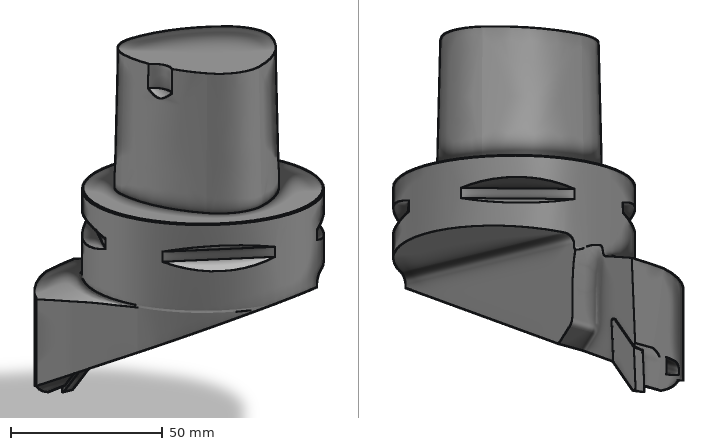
import cadquery as cq
import math


FLANGE_R = 80.0 / 2
FLANGE_CHAMFER = 0.4
TOOL_LENGTH = 80.0
TOOL_WIDTH = 95.0
GROOVE_Z = -12.0
GROOVE_FLOOR = 35.3
GROOVE_FLOOR_H = 3.5
GROOVE_MOUTH_H = 8.8
GROOVE_ANGLES = (45, 135, 225, 315)

SHANK_H = 48.0
SHANK_INSET = 1.2
LOBE_R = 16.3
LOBE_CENTRE = 13.2
FLANK_DISTANCE = 25.1
KEYWAY_R = 6.7
KEYWAY_BOTTOM_Y = -21.6
KEYWAY_Z = 39.7

BODY_R = 40.2
ARM_FRONT_Y = -42.0
ARM_CORNER_X = -37.2
ARM_CURVE_CENTRE_X = 3.2
ARM_BEND_X = -24.0
ARM_BEND_R = 34.0
ARM_FACE_Y = -0.44
CONE_DROP = math.tan(math.radians(13.2))
RING_TOP_Z = -30.1
RING_R = 1.4
UNDERSIDE_ANGLE = 24.7
UNDERSIDE_POINT = (-44.8, -68.4)
LEAD_ANGLE = 3.0
LEAD_X = -54.4
RELIEF_TOP_Z = -63.6
RELIEF_DEPTH = 1.18
RELIEF_ROUND_H = 4.2
TIP_Z = -77.2
TIP_FLAT = 0.5

REAR_Y = 11.8
REAR_EDGE_Z = -23.5
REAR_SLOPE = math.tan(math.radians(4.9))
REAR_FILLET = 3.7
FLUTE_TOP_Z = -27.8
FLUTE_TOP_LEAN = 24.0
FLUTE_WALL_X = -37.4
FLUTE_WALL_LOW_Z = -54.0
FLUTE_LIP_R = 4.2
FLUTE_LIP_ANGLE = 45.0
FLUTE_FILLET = 1.4

ACCESS_R = 4.4 / 2
ACCESS_X = -49.3
ACCESS_Z = -66.3
ACCESS_FLOOR_Y = -17.8
ACCESS_UPPER_LEAN = 11.0
ACCESS_LOWER_LEAN = 30.0
ACCESS_OPENING = 3.8

INSERT_EDGE = 16.6
INSERT_ANGLE = 35.0
INSERT_T = 4.7
INSERT_CLEARANCE = 5.0
NOSE_R = 0.8

BIG = 153.6


def polar(radius, degrees):
    """Point in the XY plane."""
    angle = math.radians(degrees)
    return (radius * math.cos(angle), radius * math.sin(angle))


def along_y(profile, y_low, y_high):
    """Prism between two Y values; `profile` is drawn on an XZ workplane."""
    return profile.extrude(y_high - y_low).translate((0, y_high, 0))


def xz():
    """Plane of the side profiles, with X to the right and Z up."""
    return cq.Workplane("XZ")


def underside_z(x):
    """Height of the sloped underside."""
    return UNDERSIDE_POINT[1] + (x - UNDERSIDE_POINT[0]) * math.tan(math.radians(UNDERSIDE_ANGLE))


def lead_x(z, depth=0.0):
    """X of the lead face, or of a face parallel to it and deeper in the arm."""
    return LEAD_X + depth + (z - RELIEF_TOP_Z) * math.tan(math.radians(LEAD_ANGLE))


def make_shank():
    """Tapered shank: three lobes and three flatter flanks, with a keyway in the front flank."""
    rise = FLANK_DISTANCE - LOBE_R
    flank_centre = (LOBE_CENTRE**2 - rise**2) / (2 * rise - LOBE_CENTRE)
    flank_r = FLANK_DISTANCE + flank_centre
    lobe_x, lobe_y = polar(LOBE_CENTRE, -30)
    reach = flank_r / (flank_r - LOBE_R)
    joint_x = lobe_x * reach
    joint_y = flank_centre + (lobe_y - flank_centre) * reach
    joint_r = math.hypot(joint_x, joint_y)
    half_lobe = -30 - math.degrees(math.atan2(joint_y, joint_x))

    outline = cq.Workplane("XY").moveTo(*polar(joint_r, -30 - half_lobe))
    for lobe in (-30, 90, 210):
        lobe_tip = polar(LOBE_CENTRE + LOBE_R, lobe)
        flank_middle = polar(FLANK_DISTANCE, lobe + 60)
        outline = outline.threePointArc(lobe_tip, polar(joint_r, lobe + half_lobe))
        outline = outline.threePointArc(flank_middle, polar(joint_r, lobe + 120 - half_lobe))
    shank = outline.close().extrude(SHANK_H, taper=math.degrees(math.atan(SHANK_INSET / SHANK_H)))
    return shank.cut(make_keyway())


def make_keyway():
    """Upright round notch at the top of the front flank, ending in a 45 degree cone."""
    return (
        xz()
        .polyline([(0, SHANK_H), (KEYWAY_R, SHANK_H), (KEYWAY_R, KEYWAY_Z), (0, KEYWAY_Z - KEYWAY_R)])
        .close()
        .revolve(360, (0, 0), (0, 1))
        .translate((0, KEYWAY_BOTTOM_Y - KEYWAY_R, 0))
    )


def make_flange():
    flange = (
        cq.Workplane("XY")
        .circle(FLANGE_R)
        .extrude(RING_TOP_Z)
        .faces(">Z")
        .chamfer(FLANGE_CHAMFER)
    )
    for angle in GROOVE_ANGLES:
        flange = flange.cut(make_gripper_groove(angle))
    return flange


def make_gripper_groove(angle):
    """Straight groove across the flange's rim, with sloped sides and a flat floor."""
    floor = GROOVE_FLOOR_H / 2
    mouth = GROOVE_MOUTH_H / 2
    groove = (
        xz()
        .polyline([(GROOVE_FLOOR, -floor), (FLANGE_R, -mouth), (FLANGE_R, mouth), (GROOVE_FLOOR, floor)])
        .close()
        .extrude(FLANGE_R, both=True)
    )
    return groove.translate((0, 0, GROOVE_Z)).rotate((0, 0, 0), (0, 0, 1), angle)


def make_body():
    """Round body with an arm, both upright prisms under a cone that is rounded into the flange."""
    curve_r = math.hypot(ARM_CORNER_X - ARM_CURVE_CENTRE_X, ARM_FRONT_Y)
    corner_angle = math.degrees(math.atan2(ARM_FRONT_Y, ARM_CORNER_X - ARM_CURVE_CENTRE_X)) + 360
    rear_angle = 180 - math.degrees(math.asin(REAR_Y / curve_r))

    def on_curve(angle):
        x, y = polar(curve_r, angle)
        return (x + ARM_CURVE_CENTRE_X, y)

    bend_distance = math.hypot(ARM_BEND_X, ARM_FRONT_Y)
    bend_angle = math.degrees(math.atan2(ARM_FRONT_Y, ARM_BEND_X))
    touch_angle = bend_angle + math.degrees(math.acos(BODY_R / bend_distance))
    touch = polar(BODY_R, touch_angle)

    turn = math.radians(touch_angle + 90)
    bend_cut = ARM_BEND_R * math.tan(turn / 2)
    bend_start = (ARM_BEND_X - bend_cut, ARM_FRONT_Y)
    bend_middle = (
        bend_start[0] + ARM_BEND_R * math.sin(turn / 2),
        ARM_FRONT_Y + ARM_BEND_R * (1 - math.cos(turn / 2)),
    )
    bend_end = (
        ARM_BEND_X + bend_cut * math.cos(turn),
        ARM_FRONT_Y + bend_cut * math.sin(turn),
    )

    arm = (
        cq.Workplane("XY")
        .moveTo(*on_curve(rear_angle))
        .threePointArc(on_curve((rear_angle + corner_angle) / 2), (ARM_CORNER_X, ARM_FRONT_Y))
        .lineTo(*bend_start)
        .threePointArc(bend_middle, bend_end)
        .lineTo(*touch)
        .lineTo(0, REAR_Y)
        .close()
        .extrude(-TOOL_LENGTH)
    )
    body = cq.Workplane("XY").circle(BODY_R).extrude(-TOOL_LENGTH)
    return body.union(arm).intersect(make_envelope()).cut(make_lead_cut())


def make_envelope():
    """Turned space below the cone, with the rounding at the flange."""
    ring_angle = math.atan(CONE_DROP)
    ring_end = (
        FLANGE_R + RING_R * (1 - math.sin(ring_angle)),
        RING_TOP_Z - RING_R * math.cos(ring_angle),
    )
    half = ring_angle / 2 + math.pi / 4
    ring_middle = (FLANGE_R + RING_R * (1 - math.sin(half)), RING_TOP_Z - RING_R * math.cos(half))
    rim_r = 2 * FLANGE_R
    rim_z = ring_end[1] - CONE_DROP * (rim_r - ring_end[0])
    return (
        xz()
        .moveTo(0, RING_TOP_Z)
        .lineTo(FLANGE_R, RING_TOP_Z)
        .threePointArc(ring_middle, ring_end)
        .lineTo(rim_r, rim_z)
        .lineTo(rim_r, -BIG)
        .lineTo(0, -BIG)
        .close()
        .revolve(360, (0, 0), (0, 1))
    )


def make_lead_cut():
    """Space to the left of the inclined lead face."""
    return along_y(
        xz()
        .polyline([(lead_x(0), 0), (lead_x(-BIG), -BIG), (-BIG, -BIG), (-BIG, 0)])
        .close(),
        -BIG,
        BIG,
    )


def make_underside_cut():
    """Space under the sloped underside and under the edge that runs to the tip."""
    tip_x = lead_x(TIP_Z, RELIEF_DEPTH) + TIP_FLAT
    edge_slope = math.tan(math.radians(LEAD_ANGLE + INSERT_ANGLE))
    slope = math.tan(math.radians(UNDERSIDE_ANGLE))
    meet_x = (underside_z(0) - TIP_Z + tip_x / edge_slope) / (1 / edge_slope - slope)
    return along_y(
        xz()
        .polyline(
            [
                (-BIG, TIP_Z),
                (tip_x, TIP_Z),
                (meet_x, underside_z(meet_x)),
                (BIG, underside_z(BIG)),
                (BIG, -BIG),
                (-BIG, -BIG),
            ]
        )
        .close(),
        -BIG,
        BIG,
    )


def make_side_relief():
    """Shallow relief in the lead face beside the insert, rounded at its upper end."""
    floor_z = RELIEF_TOP_Z - RELIEF_ROUND_H
    profile = (
        xz()
        .moveTo(lead_x(-BIG, RELIEF_DEPTH), -BIG)
        .lineTo(lead_x(floor_z, RELIEF_DEPTH), floor_z)
        .tangentArcPoint((lead_x(RELIEF_TOP_Z), RELIEF_TOP_Z), relative=False)
        .lineTo(-BIG, RELIEF_TOP_Z)
        .lineTo(-BIG, -BIG)
        .close()
    )
    return along_y(profile, -BIG, BIG)


def make_access_hole():
    """Flat-bottomed hole from the front beside the insert, widening into a slot that opens to the left."""
    left_x = ACCESS_X - ACCESS_OPENING
    bore = xz().center(ACCESS_X, ACCESS_Z).circle(ACCESS_R)

    def tangent_side(lean, direction):
        """Ends of a line that touches the bore and falls towards the left."""
        slope = math.radians(lean)
        touch_x = ACCESS_X - direction * ACCESS_R * math.sin(slope)
        touch_z = ACCESS_Z + direction * ACCESS_R * math.cos(slope)
        return (touch_x, touch_z), (left_x, touch_z - (touch_x - left_x) * math.tan(slope))

    upper_touch, upper_corner = tangent_side(ACCESS_UPPER_LEAN, 1)
    lower_touch, lower_corner = tangent_side(ACCESS_LOWER_LEAN, -1)
    slot = xz().polyline([upper_touch, upper_corner, lower_corner, lower_touch]).close()
    return along_y(bore, -BIG, ACCESS_FLOOR_Y).union(along_y(slot, -BIG, ACCESS_FLOOR_Y))


def make_rear_cut():
    """Space behind the rear wall and below the flange's rear edge."""
    wall_z = REAR_EDGE_Z - REAR_SLOPE * (FLANGE_R - REAR_Y)
    edge_z = REAR_EDGE_Z + REAR_SLOPE * FLANGE_R
    return (
        cq.Workplane("YZ")
        .polyline([(REAR_Y, wall_z), (2 * FLANGE_R, edge_z), (2 * FLANGE_R, -BIG), (REAR_Y, -BIG)])
        .close()
        .extrude(BIG, both=True)
        .edges(cq.selectors.NearestToPointSelector((0, REAR_Y, wall_z)))
        .fillet(REAR_FILLET)
    )


def make_chip_flute():
    """Space behind the insert face, up to a curved wall that ends in a sloped lip."""
    lean = math.radians(FLUTE_TOP_LEAN)
    lip = math.radians(FLUTE_LIP_ANGLE)

    def on_lip(angle):
        return (
            FLUTE_WALL_X + FLUTE_LIP_R * (1 - math.cos(angle)),
            FLUTE_WALL_LOW_Z - FLUTE_LIP_R * math.sin(angle),
        )

    lip_x, lip_z = on_lip(lip)
    profile = (
        xz()
        .moveTo(-FLANGE_R, FLUTE_TOP_Z)
        .spline(
            [(FLUTE_WALL_X, FLUTE_WALL_LOW_Z)],
            tangents=[(math.sin(lean), -math.cos(lean)), (0, -1)],
            includeCurrent=True,
        )
        .threePointArc(on_lip(lip / 2), (lip_x, lip_z))
        .lineTo(lip_x + (TOOL_LENGTH + lip_z) * math.tan(lip), -TOOL_LENGTH)
        .lineTo(-TOOL_LENGTH, -TOOL_LENGTH)
        .lineTo(-TOOL_LENGTH, FLUTE_TOP_Z)
        .close()
    )
    wall_edges = cq.selectors.BoxSelector((-FLANGE_R, -1.3, -TOOL_LENGTH + 1.3), (0, 0, FLUTE_TOP_Z))
    return along_y(profile, ARM_FACE_Y, BIG).edges(wall_edges).fillet(FLUTE_FILLET)


def make_holder():
    holder = make_flange().union(make_body())
    for cut in (
        make_underside_cut(),
        make_side_relief(),
        make_access_hole(),
        make_rear_cut(),
        make_chip_flute(),
    ):
        holder = holder.cut(cut)
    return holder.union(make_shank())


def make_insert():
    """Rhombic insert: rake face at Y = 0, sides leaning in below it, rounded acute corners."""
    half_angle = math.radians(INSERT_ANGLE / 2)
    half_short = INSERT_EDGE * math.sin(half_angle)
    nose = INSERT_EDGE * math.cos(half_angle) - NOSE_R / math.sin(half_angle)
    side_x = NOSE_R * math.cos(half_angle)
    side_z = nose + NOSE_R * math.sin(half_angle)
    insert = (
        xz()
        .moveTo(-half_short, 0)
        .lineTo(-side_x, -side_z)
        .threePointArc((0, -nose - NOSE_R), (side_x, -side_z))
        .lineTo(half_short, 0)
        .lineTo(side_x, side_z)
        .threePointArc((0, nose + NOSE_R), (-side_x, side_z))
        .close()
        .extrude(INSERT_T, taper=INSERT_CLEARANCE)
    )
    insert = insert.translate((0, 0, nose)).rotate((0, 0, 0), (0, 1, 0), LEAD_ANGLE + INSERT_ANGLE / 2)
    return insert.translate((FLANGE_R - TOOL_WIDTH + NOSE_R, 0, NOSE_R - TOOL_LENGTH))


insert = make_insert()
holder = make_holder().cut(insert)
result = cq.Compound.makeCompound([holder.val(), insert.val()])